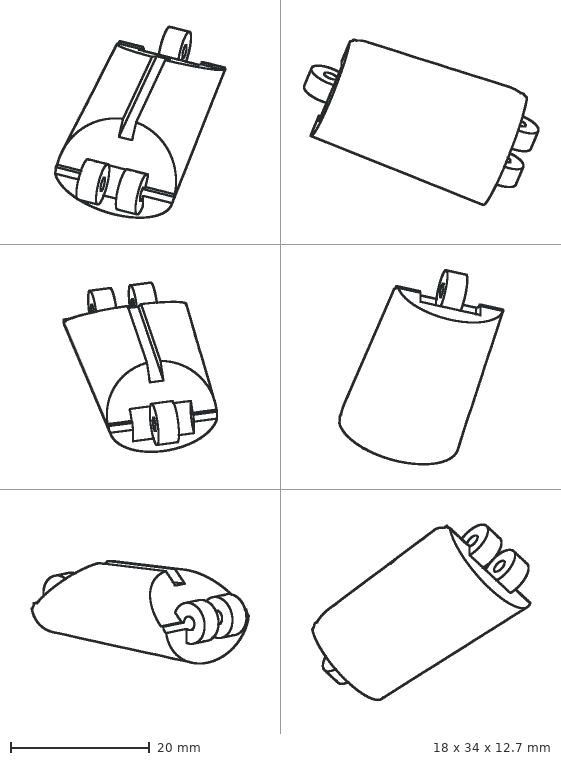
import cadquery as cq

body_length = 27.0
front_width = 18.0
front_height = 13.0
rear_width = 16.0
rear_height = 11.0
front_y = -body_length / 2
rear_y = body_length / 2

pin_overhang = 0.5
pin_y = body_length / 2 + pin_overhang
pin_radius = 1.0
knuckle_radius = 3.0
knuckle_width = 3.0

bevel_land = 1.0
bevel_start_y = body_length / 2 - bevel_land

slot_width = 2.0
slot_depth = 2.0

cut_margin = 5.0


def make_body():
    """Loft from the larger front ellipse to the smaller rear ellipse."""
    return (
        cq.Workplane("XZ", origin=(0, front_y, 0))
        .ellipse(front_width / 2, front_height / 2)
        .workplane(offset=-body_length)
        .ellipse(rear_width / 2, rear_height / 2)
        .loft(ruled=True)
    )


def cylinder_along_x(x_center, y, radius, length):
    """Cylinder parallel to X, centred on the given X and Y at Z = 0."""
    return cq.Workplane("YZ", origin=(x_center, y, 0)).circle(radius).extrude(length / 2, both=True)


def make_end_bevel(side):
    """Cutter above Z = 0 that bevels the end on the given side (-1 front, +1 rear)."""
    rise = front_height / 2 + cut_margin
    outer_y = side * (body_length / 2 + cut_margin)
    return (
        cq.Workplane("YZ")
        .moveTo(side * bevel_start_y, 0)
        .lineTo(outer_y, 0)
        .lineTo(outer_y, rise)
        .lineTo(side * (bevel_start_y - rise), rise)
        .close()
        .extrude(front_width / 2 + cut_margin, both=True)
    )


def make_slot():
    """Slot cutter whose floor runs parallel to the crown of the body."""
    top = front_height / 2 + cut_margin
    return (
        cq.Workplane("YZ")
        .moveTo(front_y, front_height / 2 - slot_depth)
        .lineTo(rear_y, rear_height / 2 - slot_depth)
        .lineTo(rear_y, top)
        .lineTo(front_y, top)
        .close()
        .extrude(slot_width / 2, both=True)
    )


def fit_hinge(body, side, knuckle_centers, recess_centers):
    """Cut clearance for the mating knuckles, add the own knuckles, drill the pin hole."""
    y = side * pin_y
    for x in recess_centers:
        body = body.cut(cylinder_along_x(x, y, knuckle_radius, knuckle_width))
    for x in knuckle_centers:
        body = body.union(cylinder_along_x(x, y, knuckle_radius, knuckle_width))
    return body.cut(cylinder_along_x(0, y, pin_radius, front_width + cut_margin))


outer_centers = [-knuckle_width, knuckle_width]
middle_center = [0.0]

result = make_body()
for end in (-1, 1):
    result = result.cut(make_end_bevel(end))
result = result.cut(make_slot())
result = fit_hinge(result, -1, outer_centers, middle_center)
result = fit_hinge(result, 1, middle_center, outer_centers)